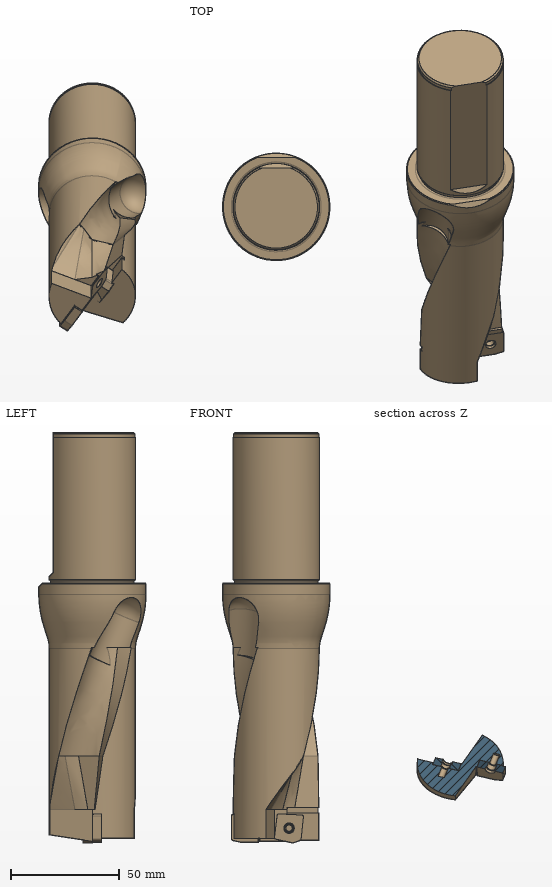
import cadquery as cq
import math


total_length = 188.99
shank_radius = 39.99 / 2
shank_end_radius = 39.5 / 2
shank_end_length = 2.3
shank_end_chamfer = 0.75
neck_radius = 19.3
neck_length = 0.9
undercut_radius = 20.7
undercut_depth = 0.3
flat_distance = 18.0
flat_ramp_start = 2.8

flange_radius = 49.5 / 2
flange_top = 119.8
flange_edge_chamfer = 0.4
flange_rim_bottom = 114.5
shaft_radius = 39.8 / 2
shaft_top = 89.5
flare_middle = (21.3, 96.2)

cut_radius = 35.0
clearance = 1.0

point_level = 2.2
center_side_level = 0.8
heel_level = 3.8

twist_rate = 1.0
flute_low = 40.0
flute_high = 90.0
flute_corner = (12.5, 3.2)
flute_floor_middle = (9.2, -6.3)
lead_edge = (19.4, 4.9)
trail_edge = (12.6, -15.5)

channel_radius = 9.2
channel_end = cq.Vector(15.0, 16.0, 104.3)
channel_start = cq.Vector(16.6, 7.2, 83.0)

gullet_low = 15.5
seat_top = 13.9
seat_slot_top = 16.3
seat_slot_start = 5.0
seat_slot_depth = 4.8
wall_slope = 0.2
ramp_depth = 8.0
center_wall_foot = -0.8
peripheral_wall_foot = 7.6
gullet_corner = (8.4, 0.9)
center_floor_edge = 3.2
peripheral_floor_edge = 1.3
gullet_floor_sag = 1.5
wall_top = (11.7, -12.5)

insert_thickness = 4.3
insert_corner_radius = 0.8
center_insert_outline = [(0.5, 13.5), (12.6, 12.9), (11.4, 1.3), (7.6, 0.0), (-0.9, 2.0)]
peripheral_insert_outline = [(-8.2, 13.3), (-20.6, 13.3), (-20.6, 1.3), (-16.5, 0.4), (-8.2, 0.4)]
center_screw = (5.9, 6.9)
peripheral_screw = (-14.4, 6.9)
screw_head_diameter = 4.8
screw_hole_diameter = 4.0
screw_head_depth = 1.5
thread_diameter = 3.0
thread_depth = 6.0


def revolved_blank():
    """Shank, flange and drill shaft as one revolved profile."""
    shank_end_start = total_length - shank_end_length
    return (
        cq.Workplane("XZ")
        .moveTo(0, 0)
        .lineTo(shaft_radius, 0)
        .lineTo(shaft_radius, shaft_top)
        .spline(
            [flare_middle, (flange_radius, flange_rim_bottom)],
            tangents=[(0, 1), (0, 1)],
            includeCurrent=True,
        )
        .lineTo(flange_radius, flange_top - flange_edge_chamfer)
        .lineTo(flange_radius - flange_edge_chamfer, flange_top)
        .lineTo(undercut_radius, flange_top)
        .lineTo(neck_radius, flange_top - undercut_depth)
        .lineTo(neck_radius, flange_top + neck_length)
        .lineTo(shank_radius, flange_top + neck_length + shank_radius - neck_radius)
        .lineTo(shank_radius, shank_end_start)
        .lineTo(shank_end_radius, shank_end_start)
        .lineTo(shank_end_radius, total_length - shank_end_chamfer)
        .lineTo(shank_end_radius - shank_end_chamfer, total_length)
        .lineTo(0, total_length)
        .close()
        .revolve(360, (0, 0, 0), (0, 1, 0))
    )


def shank_flat_cut():
    """Flat on the +Y side of the shank, running out through a 45 degree ramp."""
    ramp_low = flange_top + flat_ramp_start
    ramp_size = cut_radius - flat_distance
    ramp_high = ramp_low + shank_radius - flat_distance
    return (
        cq.Workplane("YZ")
        .moveTo(flat_distance, total_length + clearance)
        .lineTo(flat_distance, ramp_high)
        .lineTo(flat_distance + ramp_size, ramp_high - ramp_size)
        .lineTo(flat_distance + ramp_size, total_length + clearance)
        .close()
        .extrude(cut_radius, both=True)
    )


def point_cut():
    """Material below the drill point, with a relief slope behind the center insert."""
    return (
        cq.Workplane("YZ")
        .moveTo(-cut_radius, -clearance)
        .lineTo(-cut_radius, point_level)
        .lineTo(0, point_level)
        .lineTo(0, center_side_level)
        .lineTo(shaft_radius, heel_level)
        .lineTo(shaft_radius + clearance, -clearance)
        .close()
        .extrude(cut_radius, both=True)
    )


def outward(point):
    """Move a point of a section radially out to the cutting radius."""
    scale = cut_radius / math.hypot(*point)
    return (point[0] * scale, point[1] * scale)


def helical_flute():
    """L-shaped flute section twisted up the shaft."""
    height = flute_high - flute_low
    return (
        cq.Workplane("XY")
        .workplane(offset=flute_low)
        .moveTo(*trail_edge)
        .threePointArc(flute_floor_middle, flute_corner)
        .lineTo(*lead_edge)
        .lineTo(*outward(lead_edge))
        .lineTo(*outward(trail_edge))
        .close()
        .twistExtrude(height, height * twist_rate)
    )


def flute_channel():
    """Round channel with a ball end at the top of the flute."""
    direction = channel_end - channel_start
    bar = cq.Solid.makeCylinder(channel_radius, direction.Length, channel_start, direction)
    ball = cq.Workplane("XY").sphere(channel_radius).translate(channel_end)
    return cq.Workplane(obj=bar).union(ball)


def wall_point(wall_foot, depth):
    """Point on the gullet wall at a depth below the cutting face."""
    return (wall_foot - wall_slope * depth, -depth)


def gullet(wall_foot, floor_edge):
    """Chip space from the insert seats up to the start of the helical flute."""
    wall_edge = wall_point(wall_foot, shaft_radius)
    ramp_foot = wall_point(wall_foot, ramp_depth)
    floor_middle = (
        (ramp_foot[0] + gullet_corner[0]) / 2,
        (ramp_foot[1] + gullet_corner[1]) / 2 + gullet_floor_sag,
    )
    low = [wall_edge, ramp_foot, floor_middle, gullet_corner, (shaft_radius, floor_edge)]
    high = [trail_edge, wall_top, flute_floor_middle, flute_corner, lead_edge]
    outer = [(cut_radius, floor_edge), (cut_radius, -cut_radius)]
    low_end = outward(wall_edge)
    high_end = outward(trail_edge)
    return (
        cq.Workplane("XY")
        .workplane(offset=gullet_low)
        .polyline(low + outer + [low_end])
        .close()
        .workplane(offset=flute_low - gullet_low)
        .polyline(high + outer + [high_end])
        .close()
        .loft(ruled=True)
    )


def tip_opening(wall_foot):
    """Open quadrant in front of an insert, below the gullet."""
    wall_edge = wall_point(wall_foot, shaft_radius)
    section = [
        wall_edge,
        wall_point(wall_foot, 0),
        (cut_radius, 0),
        (cut_radius, -cut_radius),
        outward(wall_edge),
    ]
    base = cq.Workplane("XY").workplane(offset=-clearance)
    return base.polyline(section).close().extrude(gullet_low + clearance)


def center_seat_cut():
    """Seat face beside the center insert, with a clearance slot along its upper edge."""
    start = cq.Workplane("YZ").workplane(offset=seat_slot_start)
    seat = (
        start.moveTo(-clearance, -clearance)
        .lineTo(center_floor_edge, -clearance)
        .lineTo(center_floor_edge, seat_top)
        .lineTo(-clearance, seat_top)
        .close()
        .extrude(cut_radius)
    )
    slot = (
        start.moveTo(-clearance, seat_top)
        .lineTo(seat_slot_depth, seat_top)
        .lineTo(seat_slot_depth, seat_slot_top)
        .lineTo(-clearance, seat_slot_top)
        .close()
        .extrude(cut_radius)
    )
    return seat.union(slot)


def screw_cylinder(screw, side, diameter, start, depth):
    """Cylinder along Y at an insert screw, reaching from the cutting face into the seat."""
    origin = cq.Vector(screw[0], side * start, screw[1])
    return cq.Workplane(obj=cq.Solid.makeCylinder(diameter / 2, depth, origin, cq.Vector(0, side, 0)))


def insert_plate(outline, side):
    """Insert blank; the cutting face lies at Y = 0 and the plate extends toward side * Y."""
    plate = cq.Workplane("XZ").polyline(outline).close().extrude(-side * insert_thickness)
    return plate.edges("|Y and (not <Z)").fillet(insert_corner_radius)


def insert(outline, screw, side):
    """Insert plate with its stepped screw hole."""
    head = screw_cylinder(screw, side, screw_head_diameter, 0, screw_head_depth)
    hole = screw_cylinder(screw, side, screw_hole_diameter, 0, insert_thickness)
    return insert_plate(outline, side).cut(head).cut(hole)


def center_insert():
    """Insert that cuts at the axis and faces -Y."""
    return insert(center_insert_outline, center_screw, 1)


def peripheral_insert():
    """Insert that cuts the outer diameter and faces +Y."""
    return insert(peripheral_insert_outline, peripheral_screw, -1)


def drill_body():
    """Steel body with flutes, insert pockets and screw holes."""
    body = revolved_blank().cut(shank_flat_cut()).cut(point_cut())
    flutes = (
        (0, center_wall_foot, center_floor_edge),
        (180, peripheral_wall_foot, peripheral_floor_edge),
    )
    for angle, wall_foot, floor_edge in flutes:
        cutters = (
            helical_flute(),
            flute_channel(),
            gullet(wall_foot, floor_edge),
            tip_opening(wall_foot),
        )
        for cutter in cutters:
            body = body.cut(cutter.rotate((0, 0, 0), (0, 0, 1), angle))
    body = body.cut(center_seat_cut())
    seats = (
        (center_insert_outline, center_screw, 1),
        (peripheral_insert_outline, peripheral_screw, -1),
    )
    for outline, screw, side in seats:
        body = body.cut(insert_plate(outline, side))
        body = body.cut(screw_cylinder(screw, side, thread_diameter, insert_thickness, thread_depth))
    return body


result = cq.Compound.makeCompound(
    [drill_body().val(), center_insert().val(), peripheral_insert().val()]
)